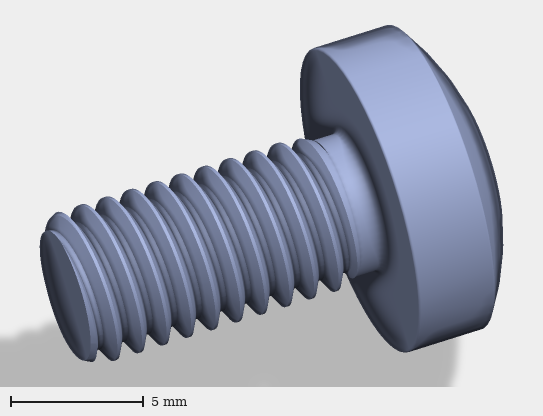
import cadquery as cq
import math

total_length = 16.6
head_diameter = 12.0
head_height = 4.6
rim_height = 3.05
crown_flat_radius = 3.02
rim_edge_radius = 0.08

neck_radius = 2.69
neck_length = 1.05
neck_fillet = 0.25

thread_diameter = 6.0
root_radius = 2.42
pitch = thread_diameter / 6
crest_width = pitch / 8
flank_half_angle = math.radians(30)
crest_offset = 2.01
lead_in_length = 1.0
tip_radius = 2.65
tip_taper_length = 1.0
envelope_radius = 3.15
core_overlap = 0.07

head_radius = head_diameter / 2
thread_radius = thread_diameter / 2
shank_length = total_length - head_height


def revolve_about_y(outline):
    return outline.close().revolve(360, (0, 0, 0), (0, 1, 0))


def make_head():
    """Cylindrical rim under a spherical crown with a flat top."""
    crown_height = head_height - rim_height
    centre_depth = (
        head_radius**2 - crown_flat_radius**2 + crown_height**2
    ) / (2 * crown_height)
    sphere_radius = math.hypot(crown_flat_radius, centre_depth)
    middle_radius = (head_radius + crown_flat_radius) / 2
    middle_height = head_height - centre_depth + math.sqrt(sphere_radius**2 - middle_radius**2)
    outline = (
        cq.Workplane("XY")
        .lineTo(head_radius, 0)
        .lineTo(head_radius, rim_height)
        .threePointArc((middle_radius, middle_height), (crown_flat_radius, head_height))
        .lineTo(0, head_height)
    )
    head = revolve_about_y(outline)
    rim_edges = cq.selectors.RadiusNthSelector(1)
    return head.edges("%CIRCLE").edges(rim_edges).fillet(rim_edge_radius)


def make_core():
    """Neck, filleted into the head, and the thread's root cylinder."""
    arc_reach = neck_fillet * (1 - math.sqrt(0.5))
    outline = (
        cq.Workplane("XY")
        .lineTo(neck_radius + neck_fillet, 0)
        .threePointArc(
            (neck_radius + arc_reach, -arc_reach),
            (neck_radius, -neck_fillet),
        )
        .lineTo(neck_radius, -neck_length)
        .lineTo(root_radius, -neck_length)
        .lineTo(root_radius, -shank_length)
        .lineTo(0, -shank_length)
    )
    return revolve_about_y(outline)


def make_thread():
    """Right-hand helical ridge, trimmed to a tapered envelope at both ends."""
    turns_below_crest = math.ceil((shank_length - crest_offset) / pitch) + 1
    turns_above_crest = math.floor(crest_offset / pitch)
    turns = turns_below_crest + turns_above_crest
    inner_radius = root_radius - core_overlap
    half_crest = crest_width / 2
    half_base = half_crest + (thread_radius - inner_radius) * math.tan(flank_half_angle)

    path = cq.Wire.makeHelix(pitch, turns * pitch, root_radius)
    ridge = (
        cq.Workplane("XZ")
        .moveTo(inner_radius, -half_base)
        .lineTo(thread_radius, -half_crest)
        .lineTo(thread_radius, half_crest)
        .lineTo(inner_radius, half_base)
        .close()
        .sweep(cq.Workplane(path), isFrenet=True)
    )
    start_y = -crest_offset - turns_below_crest * pitch
    ridge = ridge.rotate((0, 0, 0), (1, 0, 0), -90).translate((0, start_y, 0))

    envelope = revolve_about_y(
        cq.Workplane("XY")
        .moveTo(0, -neck_length)
        .lineTo(neck_radius, -neck_length)
        .lineTo(envelope_radius, -neck_length - lead_in_length)
        .lineTo(envelope_radius, tip_taper_length - shank_length)
        .lineTo(tip_radius, -shank_length)
        .lineTo(0, -shank_length)
    )
    return ridge.intersect(envelope)


result = make_head().union(make_core()).union(make_thread())